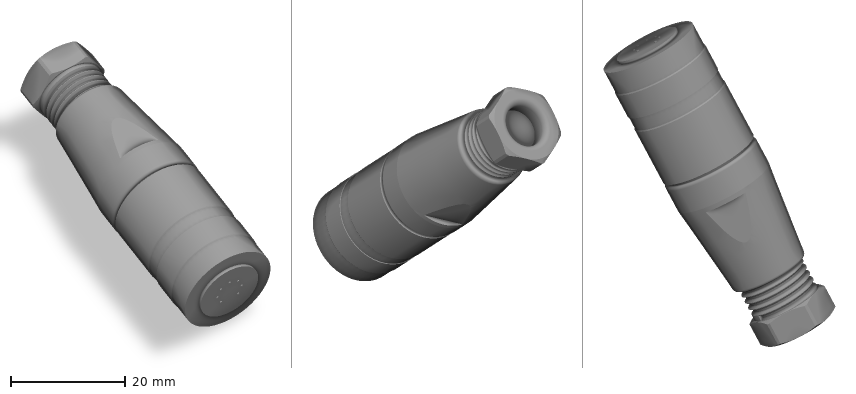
import cadquery as cq
import math

length = 57.95
max_radius = 18.0 / 2

nut_length = 5.05
nut_across_flats = 13.1
nut_corner_radius = 14.8 / 2
nut_face_radius = nut_across_flats / 2
nut_chamfer_length = 0.45
bore_radius = 7.6 / 2
bore_depth = 3.4
bore_lip = 1.05

thread_radius = 12.5 / 2
thread_depth = 0.6
groove_clearance = 0.03
thread_pitch = 1.3
groove_crest_width = 1.15
groove_root_width = 0.35
groove_start = 5.5
groove_start_angle = 39.0
shank_overlap = 1.75

taper_start = 11.25
taper_end = 28.75
taper_small_radius = 7.0
taper_edge_fillet = 0.5
housing_end = 33.9
housing_fillet = 0.6
flat_height = 8.0
flat_end = 27.9
neck_radius = 16.7 / 2

sleeve_start = 34.4
sleeve_radius = 17.9 / 2
sleeve_end = 45.25
front_ring_start = 48.0
front_ring_end = 52.7
step_chamfer = 0.25
ring_radius = 17.6 / 2
sleeve_tip = 57.2
insert_radius = 11.8 / 2

contact_height = 0.2
contact_radius = 0.25
contact_circle_radius = 2.5
contact_positions = 8
insert_end = length - contact_height


def cylinder(start, end, radius):
    """Solid cylinder on the X axis between two stations."""
    return cq.Workplane("YZ", origin=(start, 0, 0)).circle(radius).extrude(end - start)


def revolve_profile(points):
    """Solid of revolution about X from (station, radius) points closed along the axis."""
    outline = [(points[0][0], 0)] + points + [(points[-1][0], 0)]
    return cq.Workplane("XY").polyline(outline).close().revolve(360, (0, 0, 0), (1, 0, 0))


def make_nut():
    """Hexagon with flats facing +Z and -Z, corners turned down and both ends chamfered."""
    corner_diameter = nut_across_flats / math.cos(math.pi / 6)
    hexagon = cq.Workplane("YZ").polygon(6, corner_diameter).extrude(nut_length)
    envelope = revolve_profile([
        (0, nut_face_radius),
        (nut_chamfer_length, nut_corner_radius),
        (nut_length - nut_chamfer_length, nut_corner_radius),
        (nut_length, nut_face_radius),
    ])
    return hexagon.intersect(envelope)


def make_thread_groove():
    """Right-handed trapezoidal groove, built along Z and then laid on the X axis."""
    root_radius = thread_radius - thread_depth
    height = taper_start + shank_overlap / 2 - groove_start
    helix = cq.Workplane(obj=cq.Wire.makeHelix(thread_pitch, height, root_radius))
    flare = (groove_crest_width - groove_root_width) / 2 / thread_depth
    outer_radius = thread_radius + groove_clearance
    outer_half = groove_root_width / 2 + flare * (outer_radius - root_radius)
    groove = (
        cq.Workplane("XZ")
        .polyline([
            (root_radius, -groove_root_width / 2),
            (outer_radius, -outer_half),
            (outer_radius, outer_half),
            (root_radius, groove_root_width / 2),
        ])
        .close()
        .sweep(helix, isFrenet=True)
    )
    along_x = groove.rotate((0, 0, 0), (0, 1, 0), 90)
    turned = along_x.rotate((0, 0, 0), (1, 0, 0), -(90 - groove_start_angle))
    return turned.translate((groove_start, 0, 0))


def make_shank():
    shank = cylinder(nut_length, taper_start + shank_overlap, thread_radius)
    return shank.cut(make_thread_groove())


def make_housing():
    """Cone running into a cylindrical band, with a flat cut above and below."""
    housing = revolve_profile([
        (taper_start, taper_small_radius),
        (taper_end, max_radius),
        (housing_end, max_radius),
    ])
    housing = housing.faces("<X").edges().fillet(taper_edge_fillet)
    housing = housing.faces(">X").edges().fillet(housing_fillet)
    flat_cut = (
        cq.Workplane("XY", origin=(0, 0, flat_height))
        .rect(2 * flat_end, 2 * max_radius)
        .extrude(max_radius)
    )
    return housing.cut(flat_cut).cut(flat_cut.mirror("XY"))


def make_sleeve():
    """Neck, grip sleeve, raised front ring, tip and contact insert."""
    return revolve_profile([
        (housing_end, neck_radius),
        (sleeve_start, neck_radius),
        (sleeve_start, sleeve_radius),
        (sleeve_end, sleeve_radius),
        (sleeve_end + step_chamfer, ring_radius),
        (front_ring_start, ring_radius),
        (front_ring_start, sleeve_radius),
        (front_ring_end, sleeve_radius),
        (front_ring_end + step_chamfer, ring_radius),
        (sleeve_tip, ring_radius),
        (sleeve_tip, insert_radius),
        (insert_end, insert_radius),
    ])


def make_contacts():
    """Short contact tips standing on the insert face, skipping the -Z position."""
    step = 2 * math.pi / contact_positions
    angles = [-math.pi / 2 + step * index for index in range(1, contact_positions)]
    centers = [
        (contact_circle_radius * math.cos(angle), contact_circle_radius * math.sin(angle))
        for angle in angles
    ]
    return (
        cq.Workplane("YZ", origin=(insert_end, 0, 0))
        .pushPoints(centers)
        .circle(contact_radius)
        .extrude(contact_height)
    )


def make_bore():
    """Blind cable entry with a rounded mouth."""
    mouth_radius = bore_radius + bore_lip
    return (
        cq.Workplane("XY")
        .lineTo(0, mouth_radius)
        .radiusArc((bore_lip, bore_radius), -bore_lip)
        .lineTo(bore_depth, bore_radius)
        .lineTo(bore_depth, 0)
        .close()
        .revolve(360, (0, 0, 0), (1, 0, 0))
    )


result = (
    make_nut()
    .union(make_shank())
    .union(make_housing())
    .union(make_sleeve())
    .union(make_contacts())
    .cut(make_bore())
)